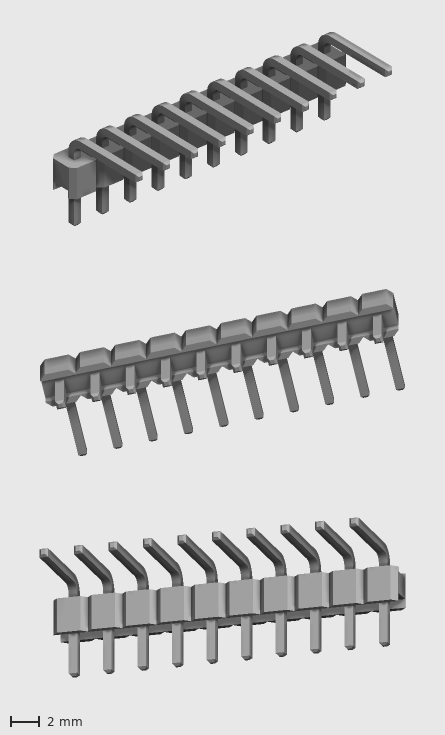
import cadquery as cq

pin_count = 10
row_length = 25.4
pitch = row_length / pin_count

block_width = pitch
block_height = 2.55
corner_bevel = 0.4
slot_width = 1.57
channel_height = 0.64
notch_length = 0.4
notch_depth = 0.33

pin_size = 0.64
pin_drop = 2.95
pin_rise = 1.8
pin_reach = 8.45
bend_inner_radius = 0.65
tip_length = 0.18
tip_size = 0.3

pin_axis_height = block_height + pin_rise - pin_size / 2
bend_radius = bend_inner_radius + pin_size / 2
tip_x = pin_reach - block_width / 2


def housing_block():
    """Bevelled block with a channel along its underside and a notch in the top of its +Y end."""
    block = (
        cq.Workplane("XY")
        .box(block_width, pitch, block_height, centered=(True, True, False))
        .edges("|Z")
        .chamfer(corner_bevel)
    )
    channel = cq.Workplane("XY").box(slot_width, pitch, channel_height, centered=(True, True, False))
    notch = (
        cq.Workplane("XY")
        .box(slot_width, notch_length, notch_depth, centered=(True, False, False))
        .translate((0, pitch / 2 - notch_length, block_height - notch_depth))
    )
    return block.cut(channel).cut(notch)


def tapered_tip(base_plane):
    """Truncated pyramid that ends the pin, growing along the normal of its base plane."""
    return (
        cq.Workplane(base_plane)
        .rect(pin_size, pin_size)
        .workplane(offset=tip_length)
        .rect(tip_size, tip_size)
        .loft(ruled=True)
    )


def bent_pin():
    """Square wire that rises along Z, bends a quarter turn and runs out along +X."""
    lower_end = cq.Vector(0, 0, tip_length - pin_drop)
    outer_end = cq.Vector(tip_x - tip_length, 0, pin_axis_height)
    centre_line = (
        cq.Workplane("XZ")
        .moveTo(lower_end.x, lower_end.z)
        .lineTo(0, pin_axis_height - bend_radius)
        .radiusArc((bend_radius, pin_axis_height), bend_radius)
        .lineTo(outer_end.x, outer_end.z)
    )
    wire = cq.Workplane("XY", origin=lower_end).rect(pin_size, pin_size).sweep(centre_line)
    lower_tip = tapered_tip(cq.Plane(lower_end, xDir=(1, 0, 0), normal=(0, 0, -1)))
    outer_tip = tapered_tip(cq.Plane(outer_end, xDir=(0, 1, 0), normal=(1, 0, 0)))
    return wire.union(lower_tip).union(outer_tip)


def header_position():
    """One position of the header: the pin moulded into its housing block."""
    return housing_block().union(bent_pin())


position = header_position()
positions = []
for index in range(pin_count):
    offset = (index - (pin_count - 1) / 2) * pitch
    positions.append(position.translate((0, offset, 0)).solids().val())

result = cq.Compound.makeCompound(positions)